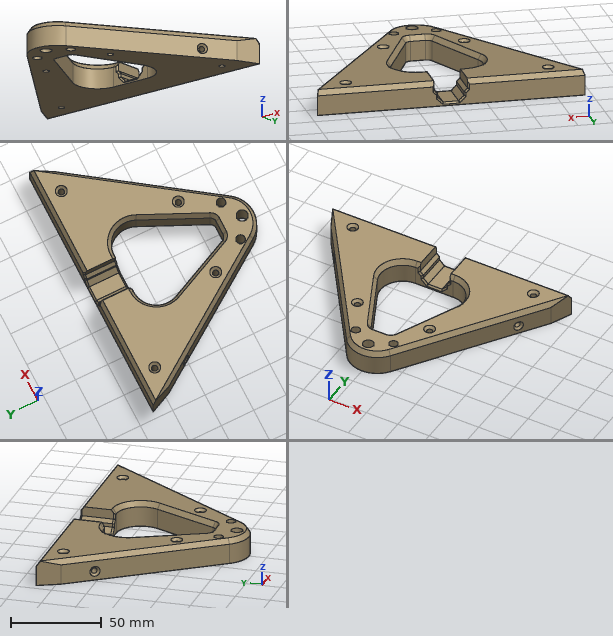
import math

import cadquery as cq

WIDTH = 152.0
LENGTH = 100.12
THICKNESS = 14.5
NOSE_RADIUS = 17.0
SIDE_ANGLE = math.radians(55)
CORNER_ANGLE = math.radians(65)

RIM_HEIGHT = 3.0
RIM_TAPER = 35.0

OPENING_FRONT_Y = 21.0
OPENING_BACK_Y = 80.1
OPENING_FRONT_HALF = 6.5
OPENING_WALL_ANGLE = math.radians(65)
OPENING_FRONT_RADIUS = 3.5
OPENING_BACK_RADIUS = 14.0

CHANNEL_FLOOR_HALF = 4.4
CHANNEL_LEDGE_HALF = 7.5
CHANNEL_TOP_HALF = 9.5
CHANNEL_FLOOR_Z = 2.0
CHANNEL_STEP_HEIGHT = 2.0
CHANNEL_CHAMFER = 1.0
CHAMFER_TAPER = 45.0

SCREW_DIAMETER = 3.4
SCREW_HEAD_DIAMETER = 6.5
COUNTERSINK_ANGLE = 90.0
BACK_SCREW_X = 57.5
BACK_SCREW_Y = 89.9
FRONT_SCREW_X = 23.0
FRONT_SCREW_Y = 34.9

NOSE_HOLE_DIAMETER = 6.5
NOSE_HOLE_Y = 7.0
PIN_DIAMETER = 5.2
PIN_X = 12.0
PIN_Y = 14.0

SIDE_HOLE_DIAMETER = 3.2
SIDE_HEAD_DIAMETER = 5.8
SIDE_HOLE_DEPTH = 12.0
SIDE_HOLE_Y = 71.3
SIDE_HOLE_Z = 5.2

NOSE_TANGENT_X = NOSE_RADIUS * math.sin(SIDE_ANGLE)
NOSE_TANGENT_Y = NOSE_RADIUS * (1 - math.cos(SIDE_ANGLE))


def side_x(y):
    """Half width of the plate between its long sides at a given Y."""
    return NOSE_TANGENT_X + (y - NOSE_TANGENT_Y) / math.tan(SIDE_ANGLE)


def raised(outline, taper):
    """Straight wall up to the rim, then a tapered band up to the top face."""
    wall_height = THICKNESS - RIM_HEIGHT
    wall = cq.Workplane("XY").placeSketch(outline).extrude(wall_height)
    rim = cq.Workplane("XY", origin=(0, 0, wall_height)).placeSketch(outline)
    return wall.union(rim.extrude(RIM_HEIGHT, taper=taper))


def plate():
    back_half = side_x(LENGTH)
    sharp_nose_y = NOSE_RADIUS * (1 - 1 / math.cos(SIDE_ANGLE))
    corners = [(0, sharp_nose_y), (back_half, LENGTH), (-back_half, LENGTH)]
    outline = cq.Sketch().polygon(corners + corners[:1]).vertices("<Y").fillet(NOSE_RADIUS)
    return raised(outline, RIM_TAPER)


def trimmed_width():
    """Prism whose slanted sides trim the two sharp back corners of the plate."""
    front_half = WIDTH / 2 - LENGTH / math.tan(CORNER_ANGLE)
    return (
        cq.Workplane("XY")
        .polyline([
            (-front_half, 0),
            (front_half, 0),
            (WIDTH / 2, LENGTH),
            (-WIDTH / 2, LENGTH),
        ])
        .close()
        .extrude(THICKNESS)
    )


def opening():
    spread = (OPENING_BACK_Y - OPENING_FRONT_Y) / math.tan(OPENING_WALL_ANGLE)
    back_half = OPENING_FRONT_HALF + spread
    corners = [
        (-OPENING_FRONT_HALF, OPENING_FRONT_Y),
        (OPENING_FRONT_HALF, OPENING_FRONT_Y),
        (back_half, OPENING_BACK_Y),
        (-back_half, OPENING_BACK_Y),
    ]
    outline = cq.Sketch().polygon(corners + corners[:1])
    outline = outline.vertices("<Y").fillet(OPENING_FRONT_RADIUS).reset()
    outline = outline.vertices(">Y").fillet(OPENING_BACK_RADIUS).reset()
    return raised(outline, -RIM_TAPER)


def channel():
    slope_top_z = CHANNEL_FLOOR_Z + CHANNEL_LEDGE_HALF - CHANNEL_FLOOR_HALF
    ledge_z = slope_top_z + CHANNEL_STEP_HEIGHT
    wall_z = ledge_z + CHANNEL_TOP_HALF - CHANNEL_LEDGE_HALF
    open_z = THICKNESS + CHANNEL_CHAMFER
    right_half = [
        (CHANNEL_FLOOR_HALF, CHANNEL_FLOOR_Z),
        (CHANNEL_LEDGE_HALF, slope_top_z),
        (CHANNEL_LEDGE_HALF, ledge_z),
        (CHANNEL_TOP_HALF, wall_z),
        (CHANNEL_TOP_HALF, open_z),
    ]
    left_half = [(-x, z) for x, z in reversed(right_half)]

    def section(y, facing):
        plane = cq.Plane(origin=(0, y, 0), xDir=(facing, 0, 0), normal=(0, -facing, 0))
        return cq.Workplane(plane).polyline(right_half + left_half).close()

    front_y = OPENING_BACK_Y + CHANNEL_CHAMFER
    back_y = LENGTH - CHANNEL_CHAMFER
    passage = section(back_y, 1).extrude(back_y - front_y)
    front_flare = section(front_y, 1).extrude(CHANNEL_CHAMFER, taper=-CHAMFER_TAPER)
    back_flare = section(back_y, -1).extrude(CHANNEL_CHAMFER, taper=-CHAMFER_TAPER)
    return passage.union(front_flare).union(back_flare)


def drill_top(body):
    screw_points = [
        (sign * x, y)
        for sign in (-1, 1)
        for x, y in ((BACK_SCREW_X, BACK_SCREW_Y), (FRONT_SCREW_X, FRONT_SCREW_Y))
    ]
    top = cq.Workplane("XY", origin=(0, 0, THICKNESS))
    body = body.copyWorkplane(top).pushPoints(screw_points)
    body = body.cskHole(SCREW_DIAMETER, SCREW_HEAD_DIAMETER, COUNTERSINK_ANGLE)
    body = body.copyWorkplane(top).pushPoints([(-PIN_X, PIN_Y), (PIN_X, PIN_Y)]).hole(PIN_DIAMETER)
    return body.copyWorkplane(top).pushPoints([(0, NOSE_HOLE_Y)]).hole(NOSE_HOLE_DIAMETER)


def drill_sides(body):
    for sign in (-1, 1):
        entry = (sign * side_x(SIDE_HOLE_Y), SIDE_HOLE_Y, SIDE_HOLE_Z)
        outward = (sign * math.sin(SIDE_ANGLE), -math.cos(SIDE_ANGLE), 0)
        side = cq.Workplane(cq.Plane(origin=entry, xDir=(0, 0, 1), normal=outward))
        body = body.copyWorkplane(side).cskHole(
            SIDE_HOLE_DIAMETER, SIDE_HEAD_DIAMETER, COUNTERSINK_ANGLE, depth=SIDE_HOLE_DEPTH
        )
    return body


body = plate().intersect(trimmed_width()).cut(opening()).cut(channel())
result = drill_sides(drill_top(body))